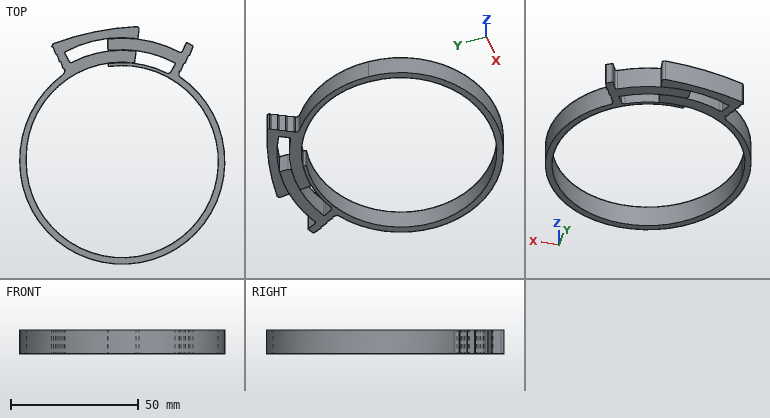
import cadquery as cq
import math

height = 9.4
outer_width = 80.6
band_thickness = 2.6
ring_outer = outer_width / 2
ring_inner = ring_outer - band_thickness

tongue_outer = 38.9
right_finger_inner = 43.9
right_finger_outer = 48.6

clearance = 0.1
jaw_lift = 1.6
left_inner = tongue_outer + clearance - jaw_lift
left_finger_outer = right_finger_inner - clearance - jaw_lift
left_hook_inner = right_finger_outer + clearance - jaw_lift
left_centre = (left_inner - ring_inner, jaw_lift)
ring_centre = (0, 0)

tongue_tip_x = -5.5
right_finger_tip_x = -5.8
right_slot_top_x = 20.9
right_slot_bottom_x = 18.5
left_finger_tip_top_x = 5.5
left_finger_tip_bottom_x = 4.9
hook_tip_bottom_x = 6.2
left_slot_top_x = -22.7
left_slot_bottom_x = -20.45

hook_tip_top = (6.8, 53.1)
hook_back_mid = (-10.9, 51.0)
hook_corner = (-27.2, 46.3)
left_wall_foot = (-22.5, 34.7)
left_band_mid = (-35.3, 20.4)

tab_root_x = 23.3
tab_inner_corner = (25.2, 46.9)
tab_outer_corner = (27.9, 45.4)
right_wall_foot_x = 22.3

left_tooth_count = 4
left_first_crest = (-27.7, 45.2)
left_tooth_pitch = (1.5, -2.9)
left_tooth_step = (0.7, -0.4)
right_tooth_count = 3
right_first_crest = (26.5, 41.8)
right_tooth_pitch = (-1.8, -3.1)
right_tooth_step = (-0.6, -0.3)

small_radius = 0.4
medium_radius = 0.75
large_radius = 1.1
band_foot_radius = 2.3


def upper_point(centre, radius, x):
    """Point at the given X on the upper half of a circle."""
    return (x, centre[1] + math.sqrt(radius**2 - (x - centre[0]) ** 2))


def arc_to(outline, centre, radius, start_x, end_x):
    """Continue the outline along the upper half of a circle."""
    middle = upper_point(centre, radius, (start_x + end_x) / 2)
    return outline.threePointArc(middle, upper_point(centre, radius, end_x))


def grip_teeth(first_crest, pitch, step, count):
    """Crest and root points of a row of grip teeth, from the outer end inward."""
    points = []
    for i in range(count):
        crest = (first_crest[0] + i * pitch[0], first_crest[1] + i * pitch[1])
        root = (crest[0] + step[0], crest[1] + step[1])
        points += [crest, root]
    return points


def round_corners(body, points, radius):
    """Fillet the vertical edges standing at the given XY points."""
    for x, y in points:
        edge = cq.selectors.NearestToPointSelector((x, y, height / 2))
        body = body.edges("|Z").edges(edge).fillet(radius)
    return body


tongue_tip_bottom = upper_point(ring_centre, ring_inner, tongue_tip_x)
right_slot_bottom = upper_point(ring_centre, tongue_outer, right_slot_bottom_x)
right_slot_top = upper_point(ring_centre, right_finger_inner, right_slot_top_x)
right_finger_tip_bottom = upper_point(ring_centre, right_finger_inner, right_finger_tip_x)
tab_root = upper_point(ring_centre, right_finger_outer, tab_root_x)
right_wall_foot = upper_point(ring_centre, ring_outer, right_wall_foot_x)
left_slot_bottom = upper_point(left_centre, left_finger_outer, left_slot_bottom_x)
left_slot_top = upper_point(left_centre, left_hook_inner, left_slot_top_x)
left_finger_tip_top = upper_point(left_centre, left_finger_outer, left_finger_tip_top_x)
left_finger_tip_bottom = upper_point(left_centre, left_inner, left_finger_tip_bottom_x)
hook_tip_bottom = upper_point(left_centre, left_hook_inner, hook_tip_bottom_x)
left_teeth = grip_teeth(left_first_crest, left_tooth_pitch, left_tooth_step, left_tooth_count)
right_teeth = grip_teeth(right_first_crest, right_tooth_pitch, right_tooth_step, right_tooth_count)

outline = cq.Workplane("XY").moveTo(-ring_outer, 0)
outline = outline.threePointArc((0, -ring_outer), right_wall_foot)

for point in reversed(right_teeth):
    outline = outline.lineTo(*point)
outline = outline.lineTo(*tab_outer_corner)
outline = outline.lineTo(*tab_inner_corner).lineTo(*tab_root)
outline = arc_to(outline, ring_centre, right_finger_outer, tab_root_x, right_finger_tip_x)
outline = outline.lineTo(*right_finger_tip_bottom)
outline = arc_to(outline, ring_centre, right_finger_inner, right_finger_tip_x, right_slot_top_x)
outline = outline.lineTo(*right_slot_bottom)
outline = arc_to(outline, ring_centre, tongue_outer, right_slot_bottom_x, tongue_tip_x)
outline = outline.lineTo(*tongue_tip_bottom)

outline = outline.threePointArc((0, -ring_inner), (-ring_inner, 0))
outline = outline.lineTo(-ring_inner, jaw_lift)
left_inner_mid = upper_point(left_centre, left_inner, -left_inner / math.sqrt(2))
outline = outline.threePointArc(left_inner_mid, left_finger_tip_bottom)

outline = outline.lineTo(*left_finger_tip_top)
outline = arc_to(outline, left_centre, left_finger_outer, left_finger_tip_top_x, left_slot_bottom_x)
outline = outline.lineTo(*left_slot_top)
outline = arc_to(outline, left_centre, left_hook_inner, left_slot_top_x, hook_tip_bottom_x)
outline = outline.lineTo(*hook_tip_top)
outline = outline.threePointArc(hook_back_mid, hook_corner)
for point in left_teeth:
    outline = outline.lineTo(*point)
outline = outline.lineTo(*left_wall_foot)
outline = outline.threePointArc(left_band_mid, (-ring_outer, 0)).close()

clamp = outline.extrude(height)

small_corners = [
    tab_inner_corner,
    tab_outer_corner,
    hook_corner,
    hook_tip_bottom,
    left_finger_tip_top,
    left_finger_tip_bottom,
    tongue_tip_bottom,
    left_slot_top,
    right_slot_top,
    right_wall_foot,
]
medium_corners = [tab_root, left_slot_bottom]
large_corners = [hook_tip_top, right_finger_tip_bottom, right_slot_bottom]
clamp = round_corners(clamp, small_corners, small_radius)
clamp = round_corners(clamp, medium_corners, medium_radius)
clamp = round_corners(clamp, large_corners, large_radius)
clamp = round_corners(clamp, [left_wall_foot], band_foot_radius)

result = clamp